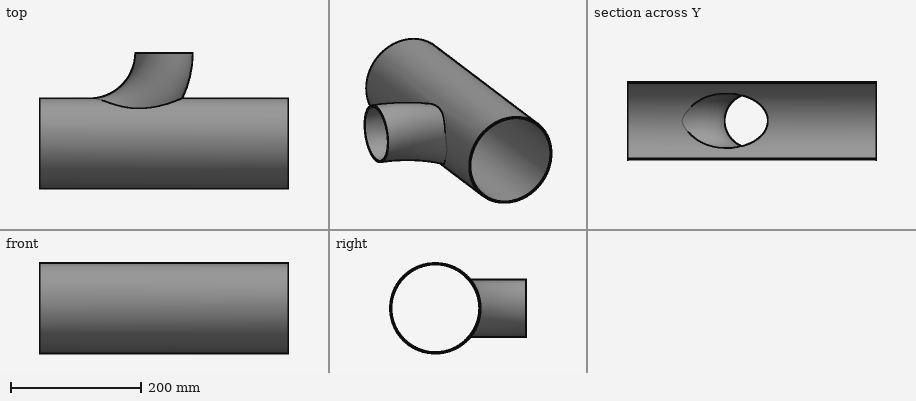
import cadquery as cq

pipe_length = 382.0
pipe_outer_diameter = 139.7
pipe_bore_diameter = 134.5
wall = (pipe_outer_diameter - pipe_bore_diameter) / 2

total_width = 209.25
branch_outer_diameter = 88.9
branch_bore_diameter = branch_outer_diameter - 2 * wall
bend_radius = 114.3
bend_angle = 90.0
branch_mouth_x = pipe_length / 2
branch_mouth_y = total_width - pipe_outer_diameter / 2


def pipe_cylinder(diameter):
    """Full-length cylinder on the pipe axis."""
    return cq.Workplane("YZ").circle(diameter / 2).extrude(pipe_length)


def branch_elbow(diameter):
    """Solid quarter bend from the branch mouth down towards -X."""
    return (
        cq.Workplane("XZ", origin=(branch_mouth_x, branch_mouth_y, 0))
        .circle(diameter / 2)
        .revolve(bend_angle, (-bend_radius, 0, 0), (-bend_radius, -1, 0))
    )


outside = pipe_cylinder(pipe_outer_diameter).union(branch_elbow(branch_outer_diameter))
result = outside.cut(branch_elbow(branch_bore_diameter)).cut(pipe_cylinder(pipe_bore_diameter))